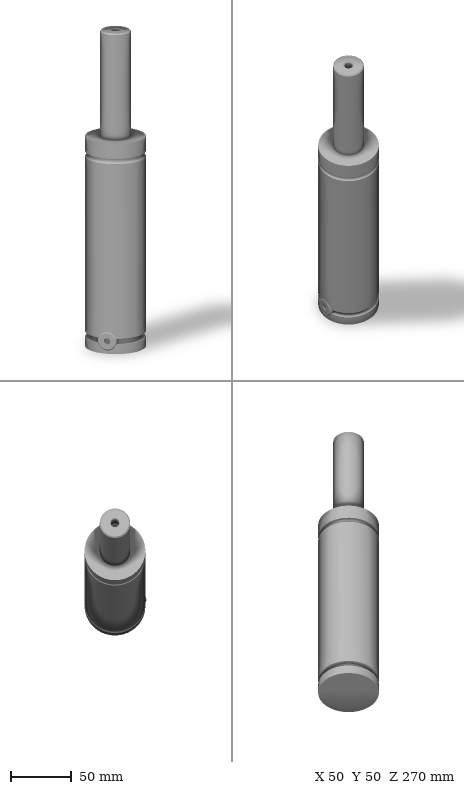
import cadquery as cq
import math

total_height = 270.0
body_diameter = 50.0
body_height = 179.5
body_radius = body_diameter / 2

rod_diameter = 25.0
rod_radius = rod_diameter / 2
rod_chamfer = 1.0

rod_hole_radius = 6.8 / 2
rod_hole_mouth_radius = 8.0 / 2
rod_hole_depth = 13.5
drill_point_angle = 118

lower_groove_bottom = 8.0
lower_groove_top = 13.0
lower_groove_radius = 21.5

upper_groove_top = 166.5
upper_groove_bottom = 162.3
upper_groove_radius = 23.0

port_height = 10.5
port_diameter = 16.0
port_face_diameter = 14.0
port_hole_diameter = 5.5
port_hole_depth = 2.7
port_seat_y = -16.2
port_face_y = -body_radius
port_chamfer = (port_diameter - port_face_diameter) / 2


def make_cylinder_body():
    """Body, rod and rod-end hole, revolved from one half profile."""
    flare_width = body_radius - upper_groove_radius
    flare_height = upper_groove_top - upper_groove_bottom
    diagonal = math.sqrt(0.5)
    flare_middle = (
        body_radius - flare_width * diagonal,
        upper_groove_top - flare_height * diagonal,
    )
    mouth_depth = rod_hole_mouth_radius - rod_hole_radius
    drill_point = rod_hole_radius / math.tan(math.radians(drill_point_angle / 2))
    hole_bottom = total_height - rod_hole_depth
    return (
        cq.Workplane("XZ")
        .lineTo(body_radius, 0)
        .lineTo(body_radius, lower_groove_bottom)
        .lineTo(lower_groove_radius, lower_groove_bottom)
        .lineTo(lower_groove_radius, lower_groove_top)
        .lineTo(body_radius, lower_groove_top)
        .lineTo(body_radius, upper_groove_bottom)
        .threePointArc(flare_middle, (upper_groove_radius, upper_groove_top))
        .lineTo(body_radius, upper_groove_top)
        .lineTo(body_radius, body_height)
        .lineTo(rod_radius, body_height)
        .lineTo(rod_radius, total_height - rod_chamfer)
        .lineTo(rod_radius - rod_chamfer, total_height)
        .lineTo(rod_hole_mouth_radius, total_height)
        .lineTo(rod_hole_radius, total_height - mouth_depth)
        .lineTo(rod_hole_radius, hole_bottom)
        .lineTo(0, hole_bottom - drill_point)
        .close()
        .revolve(360, (0, 0, 0), (0, 1, 0))
    )


def port_cylinder(diameter, inner_y):
    """Cylinder on the port axis, from inner_y out to the port face."""
    return (
        cq.Workplane("XZ", origin=(0, inner_y, port_height))
        .circle(diameter / 2)
        .extrude(inner_y - port_face_y)
    )


def add_port(body):
    """Bore the seat, fit the chamfered plug and drill its blind hole."""
    seat = port_cylinder(port_diameter, port_seat_y)
    plug = seat.faces("<Y").chamfer(port_chamfer)
    hole = port_cylinder(port_hole_diameter, port_face_y + port_hole_depth)
    return body.cut(seat).union(plug).cut(hole)


result = add_port(make_cylinder_body())